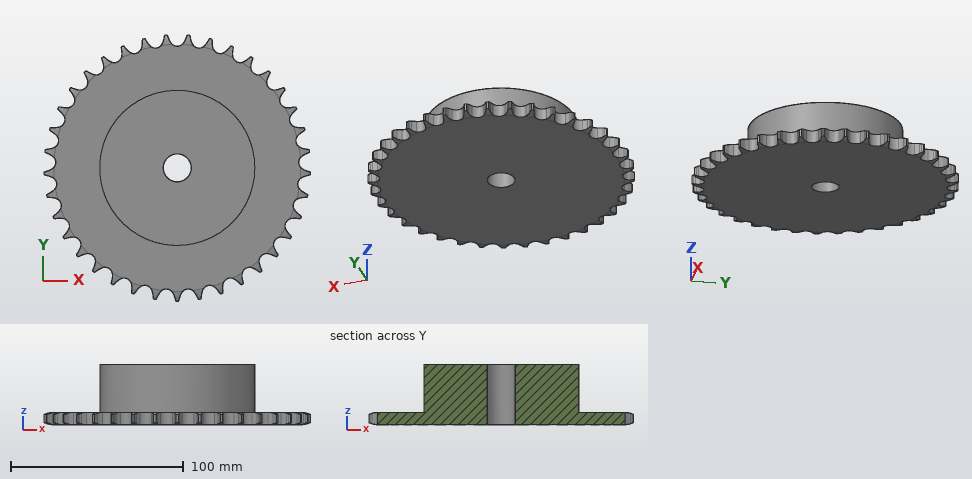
import cadquery as cq
import math

overall_width = 154.5
overall_height = 35.0
plate_thickness = 7.3
hub_diameter = 90.0
bore_diameter = 16.0

tooth_count = 37
pitch_diameter = 149.7
roller_diameter = 8.5
tip_width = 1.2

relief_start_radius = 71.5
relief_depth = 1.31

tooth_angle = 360 / tooth_count
pitch_radius = pitch_diameter / 2

tip_corner_angle = math.radians(tooth_angle / 4) - tip_width / overall_width
tip_radius = overall_width / 2 / math.cos(tip_corner_angle)

seat_radius = 0.51 * roller_diameter
working_radius = 1.31 * roller_diameter
seat_end_angle = math.radians(35 + 60 / tooth_count)
working_arc_angle = math.radians(18 - 56 / tooth_count)
tip_arc_angle = math.radians(17 - 64 / tooth_count)
straight_length = roller_diameter * (1.4 * math.sin(tip_arc_angle) - 0.8 * math.sin(working_arc_angle))


def make_blank():
    """Toothless disc with hub, its rim rounded off on each face."""
    hub_radius = hub_diameter / 2
    relief_width = tip_radius - relief_start_radius
    relief_radius = (relief_width**2 + relief_depth**2) / (2 * relief_depth)
    return (
        cq.Workplane("XZ")
        .moveTo(0, 0)
        .lineTo(relief_start_radius, 0)
        .radiusArc((tip_radius, relief_depth), -relief_radius)
        .lineTo(tip_radius, plate_thickness - relief_depth)
        .radiusArc((relief_start_radius, plate_thickness), -relief_radius)
        .lineTo(hub_radius, plate_thickness)
        .lineTo(hub_radius, overall_height)
        .lineTo(0, overall_height)
        .close()
        .revolve(360, (0, 0, 0), (0, 1, 0))
    )


def make_tooth_gap():
    """Gap between two teeth, centred on +Y."""
    seat_end_x = seat_radius * math.cos(seat_end_angle)
    seat_end_y = pitch_radius - seat_radius * math.sin(seat_end_angle)

    working_end_angle = seat_end_angle - working_arc_angle
    centre_x = seat_end_x - working_radius * math.cos(seat_end_angle)
    centre_y = seat_end_y + working_radius * math.sin(seat_end_angle)
    working_end_x = centre_x + working_radius * math.cos(working_end_angle)
    working_end_y = centre_y - working_radius * math.sin(working_end_angle)

    straight_end_x = working_end_x + straight_length * math.sin(working_end_angle)
    straight_end_y = working_end_y + straight_length * math.cos(working_end_angle)

    tip_angle = math.radians(tooth_angle / 2) - tip_width / 2 / tip_radius
    tip_x = tip_radius * math.sin(tip_angle)
    tip_y = tip_radius * math.cos(tip_angle)

    outer_y = tip_radius + seat_radius
    return (
        cq.Workplane("XY")
        .moveTo(0, pitch_radius - seat_radius)
        .radiusArc((seat_end_x, seat_end_y), -seat_radius)
        .radiusArc((working_end_x, working_end_y), -working_radius)
        .lineTo(straight_end_x, straight_end_y)
        .tangentArcPoint((tip_x, tip_y), relative=False)
        .lineTo(tip_x, outer_y)
        .lineTo(0, outer_y)
        .mirrorY()
        .extrude(plate_thickness)
    )


def make_all_gaps():
    """All the tooth gaps, spaced evenly about Z."""
    gap = make_tooth_gap().val()
    gaps = [
        gap.rotate(cq.Vector(0, 0, 0), cq.Vector(0, 0, 1), i * tooth_angle)
        for i in range(tooth_count)
    ]
    return cq.Workplane("XY").newObject([cq.Compound.makeCompound(gaps)])


def make_bore():
    """Plain bore through plate and hub."""
    return cq.Workplane("XY").circle(bore_diameter / 2).extrude(overall_height)


result = make_blank().cut(make_all_gaps()).cut(make_bore())